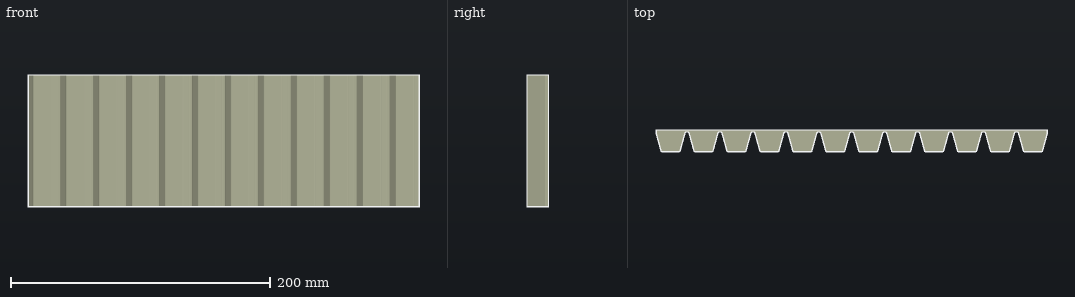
import cadquery as cq
import math

length = 301.8
depth = 17.0
width = 101.7

tooth_count = 12
end_tooth_inset = 11.2
pitch = (length - 2 * end_tooth_inset) / (tooth_count - 1)
web_thickness = 1.8
tip_width = 14.5
flank_angle = 15.5
tip_radius = 1.0
root_radius = 0.5

back_y = depth / 2
front_y = -depth / 2
root_y = back_y - web_thickness
flank_run = (depth - web_thickness) * math.tan(math.radians(flank_angle))
tip_half = tip_width / 2
root_half = tip_half + flank_run


def make_groove(center_x):
    """Trapezoidal groove with rounded root corners, centred between two teeth."""
    mouth_half = pitch / 2 - tip_half
    bottom_half = pitch / 2 - root_half
    outline = [
        (center_x - mouth_half, front_y),
        (center_x + mouth_half, front_y),
        (center_x + bottom_half, root_y),
        (center_x - bottom_half, root_y),
    ]
    groove = cq.Workplane("XY").polyline(outline).close().extrude(width)
    return groove.edges("|Z and >Y").fillet(root_radius)


belt = cq.Workplane("XY").box(length, depth, width, centered=(True, True, False))

first_groove_x = -tooth_count * pitch / 2
for index in range(tooth_count + 1):
    belt = belt.cut(make_groove(first_groove_x + index * pitch))

result = belt.faces("<Y").edges("|Z").fillet(tip_radius)